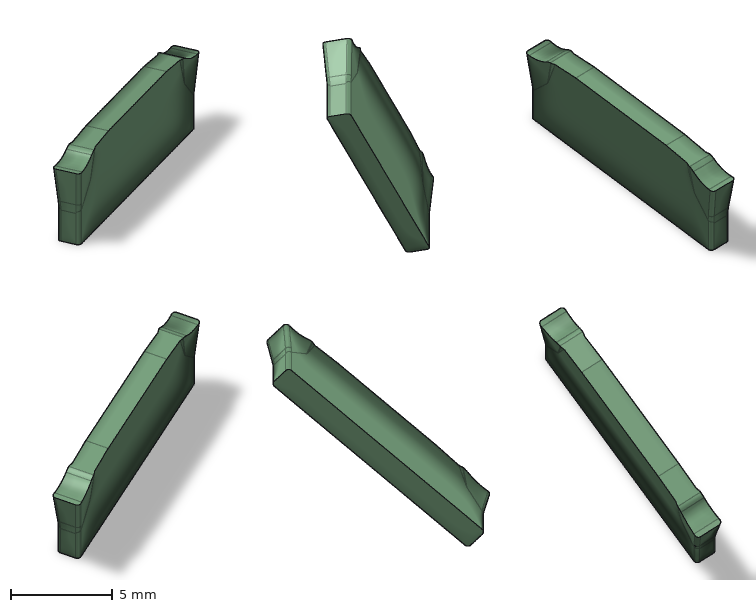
import cadquery as cq
import math


length = 13.93
height = 4.81
blade_width = 1.23
corner_radius = 0.2
crown_half_length = 3.35
crown_slope = math.radians(5)

half_length = length / 2
edge_width = 1.522
edge_height = 4.18
clearance = math.radians(7.72)
blend_top = 2.26
blend_bottom = 1.757

land_length = 0.305
land_slope = math.radians(2)
groove_end = 1.51
groove_end_height = 4.517
groove_lip = 1.805

flank_relief_back = math.tan(math.radians(3.3))
flank_relief_down = math.tan(math.radians(2.97))

facet_root = 1.59
facet_root_height = 3.21
facet_start = 1.84
facet_knee = 1.88
facet_end = 2.08
facet_knee_drop = 0.004
head_depth = 2.5

margin = 1.0
cutter_size = 20.0


def crown_height(inset):
    """Height of the sloping top at a distance inward from the cutting edge."""
    return height - (half_length - inset - crown_half_length) * math.tan(crown_slope)


def flank_x(inset, z):
    """Half width of the head's flank at a distance inward from the edge and a height."""
    return edge_width / 2 - inset * flank_relief_back - (edge_height - z) * flank_relief_down


def point_on_flank(inset, z):
    """Point of the -Y head's +X flank."""
    return cq.Vector(flank_x(inset, z), inset - half_length, z)


def point_on_blade(inset, z):
    """Point of the blade's +X face near the -Y end."""
    return cq.Vector(blade_width / 2, inset - half_length, z)


def end_inset():
    """Distance from the cutting edge in to the blade's end, where the clearance blend ends."""
    blend_middle = (blend_top + blend_bottom) / 2
    return (edge_height - blend_middle) * math.tan(clearance)


def side_sketch(start_inset, start_z):
    """YZ workplane at X = 0 with the pen at the given point of the -Y end."""
    return cq.Workplane("YZ").moveTo(start_inset - half_length, start_z)


def make_blade():
    """Flat blade with a crowned top and rounded upright corners."""
    end_y = half_length - end_inset()
    end_top = crown_height(end_inset())
    outline = [
        (-end_y, 0),
        (end_y, 0),
        (end_y, end_top),
        (crown_half_length, height),
        (-crown_half_length, height),
        (-end_y, end_top),
    ]
    blade = cq.Workplane("YZ").polyline(outline).close().extrude(blade_width / 2, both=True)
    return blade.edges("|Z").fillet(corner_radius)


def cut_outside(body, first, second, third):
    """Remove what lies beyond the plane through three points, on +X and mirrored on -X."""
    normal = (second - first).cross(third - first).normalized()
    if normal.x < 0:
        normal = normal * -1
    plane = cq.Plane(origin=first, xDir=second - first, normal=normal)
    cutter = cq.Workplane(plane).rect(cutter_size, cutter_size).extrude(cutter_size)
    return body.cut(cutter).cut(cutter.mirror("YZ"))


def make_head_blank():
    """Head at the -Y end with upright flanks and no chip groove."""
    inset_bottom = end_inset()
    inset_top = (edge_height - blend_top) * math.tan(clearance)
    back_y = head_depth - half_length
    return (
        side_sketch(0, edge_height)
        .lineTo(inset_top - half_length, blend_top)
        .tangentArcPoint((inset_bottom - half_length, blend_bottom), relative=False)
        .lineTo(back_y, blend_bottom)
        .lineTo(back_y, crown_height(head_depth))
        .lineTo(groove_lip - half_length, crown_height(groove_lip))
        .lineTo(-half_length, edge_height)
        .close()
        .extrude(edge_width / 2, both=True)
    )


def taper_flanks(head):
    """Lean both flanks so that the head is widest at its cutting edge."""
    near_edge = point_on_flank(0, edge_height)
    inward = point_on_flank(head_depth, edge_height)
    below = point_on_flank(0, blend_bottom)
    return cut_outside(head, near_edge, inward, below)


def round_head_corners(head):
    """Round the edges between the flanks and the clearance face and its blend."""
    corner_zone = cq.selectors.BoxSelector(
        (-edge_width, -half_length - margin, blend_bottom),
        (edge_width, end_inset() - half_length, edge_height),
    )
    corner_edges = head.edges(corner_zone - cq.selectors.ParallelDirSelector(cq.Vector(1, 0, 0)))
    return corner_edges.fillet(corner_radius)


def run_out_flanks(head):
    """Bring each flank down to the blade with two narrow facets sharing a knee."""
    root = point_on_blade(facet_root, facet_root_height)
    start = point_on_flank(facet_start, crown_height(facet_start))
    knee = point_on_flank(facet_knee, crown_height(facet_knee)) - cq.Vector(facet_knee_drop, 0, 0)
    end = point_on_blade(facet_end, crown_height(facet_end))
    head = cut_outside(head, root, start, knee)
    return cut_outside(head, root, knee, end)


def make_groove_cutter():
    """Everything above the land, chip groove and groove lip of the -Y end."""
    land_end_height = edge_height - land_length * math.tan(land_slope)
    ceiling = height + margin
    return (
        side_sketch(0, edge_height)
        .lineTo(land_length - half_length, land_end_height)
        .tangentArcPoint((groove_end - half_length, groove_end_height), relative=False)
        .tangentArcPoint((groove_lip - half_length, crown_height(groove_lip)), relative=False)
        .lineTo(groove_lip - half_length, ceiling)
        .lineTo(-half_length - margin, ceiling)
        .lineTo(-half_length - margin, edge_height)
        .close()
        .extrude(edge_width / 2, both=True)
    )


head = run_out_flanks(round_head_corners(taper_flanks(make_head_blank())))
groove_cutter = make_groove_cutter()
result = make_blade()
for end_head in (head, head.mirror("XZ")):
    result = result.union(end_head)
for end_cutter in (groove_cutter, groove_cutter.mirror("XZ")):
    result = result.cut(end_cutter)